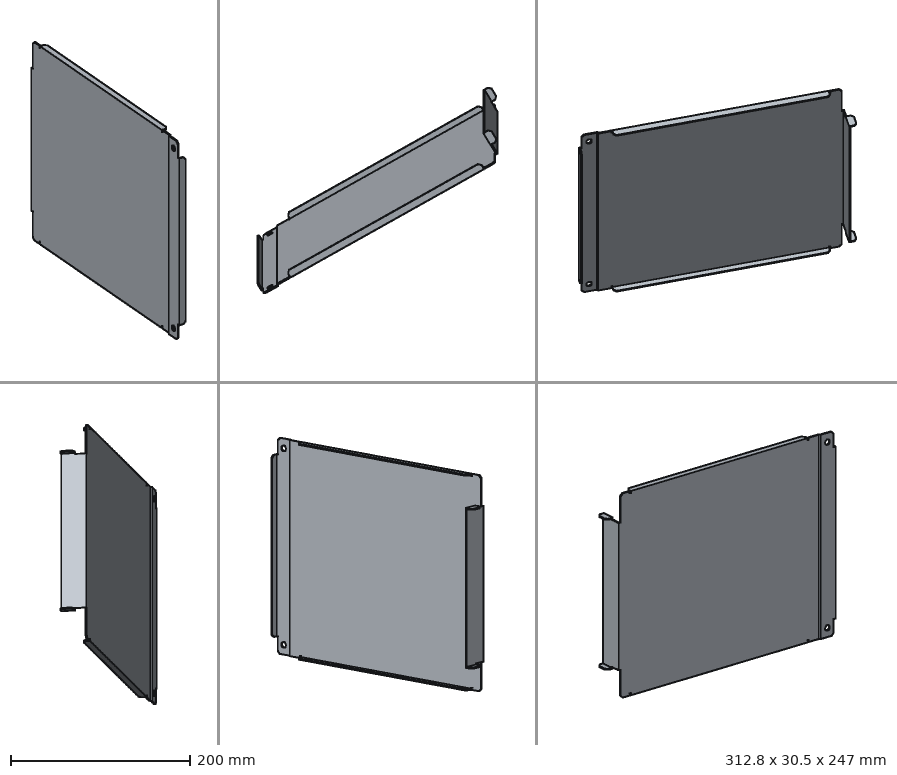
import cadquery as cq
import math

LENGTH = 312.84
DEPTH = 30.48
HEIGHT = 247.0

SHEET = 1.6
CORNER = 3.0

STEP = SHEET
STEP_X = 290.1
STEP_RUN = 1.3

FLANGE_X = 7.5
FLANGE_HEIGHT = 178.0
TAB_WIDTH = 16.0
TAB_OUTER_Z = 91.5
TAB_END_X = FLANGE_X + SHEET

RIGHT_FLANGE_HEIGHT = 208.0
RIGHT_FLANGE_DEPTH = 9.0

END_SETBACK = 3.0

EDGE_FLANGE_START = 25.0
EDGE_FLANGE_END = 274.6
EDGE_FLANGE_TIP_Y = 10.0
NOTCH_WIDTH = 1.5
NOTCH_DEPTH = 2.5

HOLE_DIAMETER = 6.6
HOLE_X = 301.2
HOLE_SPACING = 224.5


def box(x_range, y_range, z_range):
    """Box spanning the given (low, high) ranges."""
    size = [high - low for low, high in (x_range, y_range, z_range)]
    corner = (x_range[0], y_range[0], z_range[0])
    return cq.Workplane("XY").box(*size, centered=False).translate(corner)


def centred(height):
    """Z range of a feature centred on the panel."""
    return (-height / 2, height / 2)


def make_panel():
    """Flat panel with its joggled front strip and chamfered corners."""
    step_end = STEP_X + STEP_RUN
    rear_shift = SHEET * math.tan(math.atan2(STEP, STEP_RUN) / 2)
    left = FLANGE_X + END_SETBACK
    right = LENGTH - END_SETBACK
    section = [
        (left, STEP),
        (STEP_X, STEP),
        (step_end, 0),
        (right, 0),
        (right, SHEET),
        (step_end + rear_shift, SHEET),
        (STEP_X + rear_shift, STEP + SHEET),
        (left, STEP + SHEET),
    ]
    panel = cq.Workplane("XY").polyline(section).close().extrude(HEIGHT / 2, both=True)
    return panel.edges("|Y and (<X or >X)").chamfer(CORNER)


def make_left_flange():
    """Rear-facing flange on the left end, with its short strip of panel."""
    z_range = centred(FLANGE_HEIGHT)
    wall = box((FLANGE_X, FLANGE_X + SHEET), (STEP, DEPTH), z_range)
    foot = box((FLANGE_X, FLANGE_X + END_SETBACK), (STEP, STEP + SHEET), z_range)
    return wall.union(foot)


def make_left_tab():
    """Upper tab folded outward at the rear of the left flange."""
    y_range = (DEPTH - TAB_WIDTH, DEPTH)
    tab = box((0, TAB_END_X), y_range, (TAB_OUTER_Z - SHEET, TAB_OUTER_Z))
    tab = tab.edges("|Z and <X").chamfer(CORNER)
    root = box((FLANGE_X, TAB_END_X), y_range, (FLANGE_HEIGHT / 2 - SHEET, TAB_OUTER_Z))
    return tab.union(root)


def make_right_flange():
    """Rear-facing flange on the right end, with its short strip of panel."""
    z_range = centred(RIGHT_FLANGE_HEIGHT)
    wall = box((LENGTH - SHEET, LENGTH), (0, RIGHT_FLANGE_DEPTH), z_range)
    wall = wall.edges("|X and >Y").chamfer(CORNER)
    foot = box((LENGTH - END_SETBACK, LENGTH), (0, SHEET), z_range)
    return wall.union(foot)


def make_edge_flange():
    """Rear-facing flange along the top edge."""
    top = HEIGHT / 2
    x_range = (EDGE_FLANGE_START, EDGE_FLANGE_END)
    flange = box(x_range, (STEP, EDGE_FLANGE_TIP_Y), (top - SHEET, top))
    return flange.edges("|Z and >Y").chamfer(CORNER)


def make_notches():
    """Relief notches at the two ends of the top edge flange."""
    top = HEIGHT / 2
    notches = cq.Workplane("XY")
    for start in (EDGE_FLANGE_START - NOTCH_WIDTH, EDGE_FLANGE_END):
        x_range = (start, start + NOTCH_WIDTH)
        notches = notches.add(box(x_range, (0, EDGE_FLANGE_TIP_Y), (top - NOTCH_DEPTH, top)))
    return notches.combine()


def make_holes():
    """Mounting holes through the front strip."""
    points = [(HOLE_X, z) for z in centred(HOLE_SPACING)]
    return cq.Workplane("XZ").pushPoints(points).circle(HOLE_DIAMETER / 2).extrude(-SHEET)


def with_mirror(feature):
    """Upper feature together with its mirror image below mid-height."""
    return feature.union(feature.mirror("XY"))


result = (
    make_panel()
    .union(make_left_flange())
    .union(with_mirror(make_left_tab()))
    .union(make_right_flange())
    .union(with_mirror(make_edge_flange()))
    .cut(with_mirror(make_notches()))
    .cut(make_holes())
)